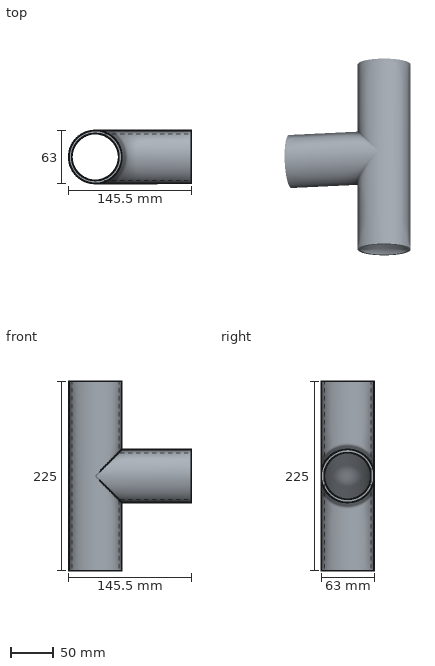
import cadquery as cq

run_length = 225.0
outer_diameter = 63.0
wall_thickness = 3.8
branch_reach = 114.0

bore_diameter = outer_diameter - 2 * wall_thickness


def tee_cylinders(diameter):
    """Join the run and branch cylinders of one diameter, centred on the tee."""
    run = cq.Workplane("XY").circle(diameter / 2).extrude(run_length / 2, both=True)
    branch = cq.Workplane("YZ").circle(diameter / 2).extrude(branch_reach)
    return run.union(branch)


result = tee_cylinders(outer_diameter).cut(tee_cylinders(bore_diameter))